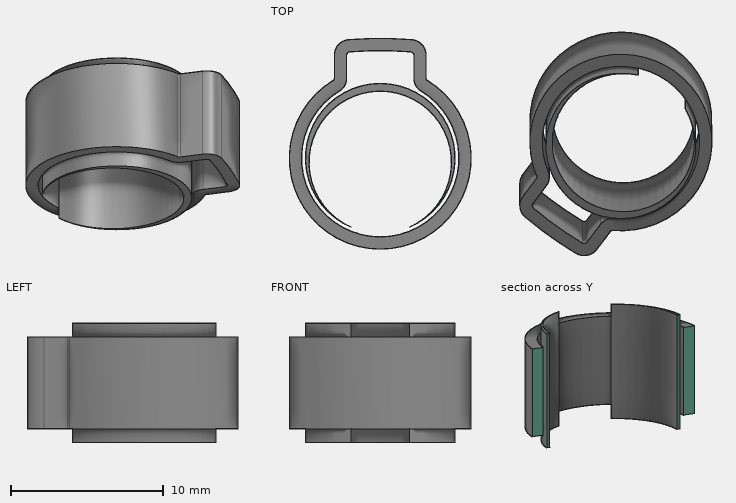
import cadquery as cq
import math

band_width = 6.01
band_diameter = 11.9
band_radius = band_diameter / 2
clamp_length = 13.79
wall = 0.81
ear_half_width = 3.0
ear_top = clamp_length - band_radius
ear_crown_radius = 26.2
ear_corner_radius = 1.03
neck_radius = 0.15

insert_width = 7.8
insert_radius = 4.9
insert_bore_radius = 4.65
insert_gap = 3.8


def centred_cylinder(radius, height, y=0.0):
    return cq.Workplane("XY").center(0, y).circle(radius).extrude(height / 2, both=True)


def ear_block(inset):
    """Ear with a slightly crowned top and round corners, its outline moved inwards by inset."""
    half_width = ear_half_width - inset
    top = ear_top - inset
    crown_radius = ear_crown_radius - inset
    shoulder = top - crown_radius + math.sqrt(crown_radius**2 - half_width**2)
    return (
        cq.Workplane("XY")
        .moveTo(-half_width, 0)
        .lineTo(-half_width, shoulder)
        .threePointArc((0, top), (half_width, shoulder))
        .lineTo(half_width, 0)
        .close()
        .extrude(band_width / 2, both=True)
        .edges("|Z")
        .edges(">Y")
        .fillet(ear_corner_radius - inset)
    )


def band_and_ear(inset):
    """Solid inside the clamp outline moved inwards by inset, with the ear's neck rounded."""
    radius = band_radius - inset
    half_width = ear_half_width - inset
    neck_y = math.sqrt(radius**2 - half_width**2)
    neck_edges = cq.selectors.BoxSelector(
        (-ear_half_width - wall, neck_y - wall / 2, -band_width),
        (ear_half_width + wall, neck_y + wall / 2, band_width),
    )
    outline = centred_cylinder(radius, band_width).union(ear_block(inset))
    return outline.edges("|Z").edges(neck_edges).fillet(neck_radius + inset)


def make_clamp():
    return band_and_ear(0).cut(band_and_ear(wall))


def make_insert():
    half_gap = insert_gap / 2
    rim_tip_y = -math.sqrt(insert_radius**2 - half_gap**2)
    bore_centre_y = rim_tip_y + math.sqrt(insert_bore_radius**2 - half_gap**2)
    rim = centred_cylinder(insert_radius, insert_width)
    return rim.cut(centred_cylinder(insert_bore_radius, insert_width, bore_centre_y))


clamp = make_clamp()
insert = make_insert()

result = cq.Compound.makeCompound([clamp.val(), insert.val()])